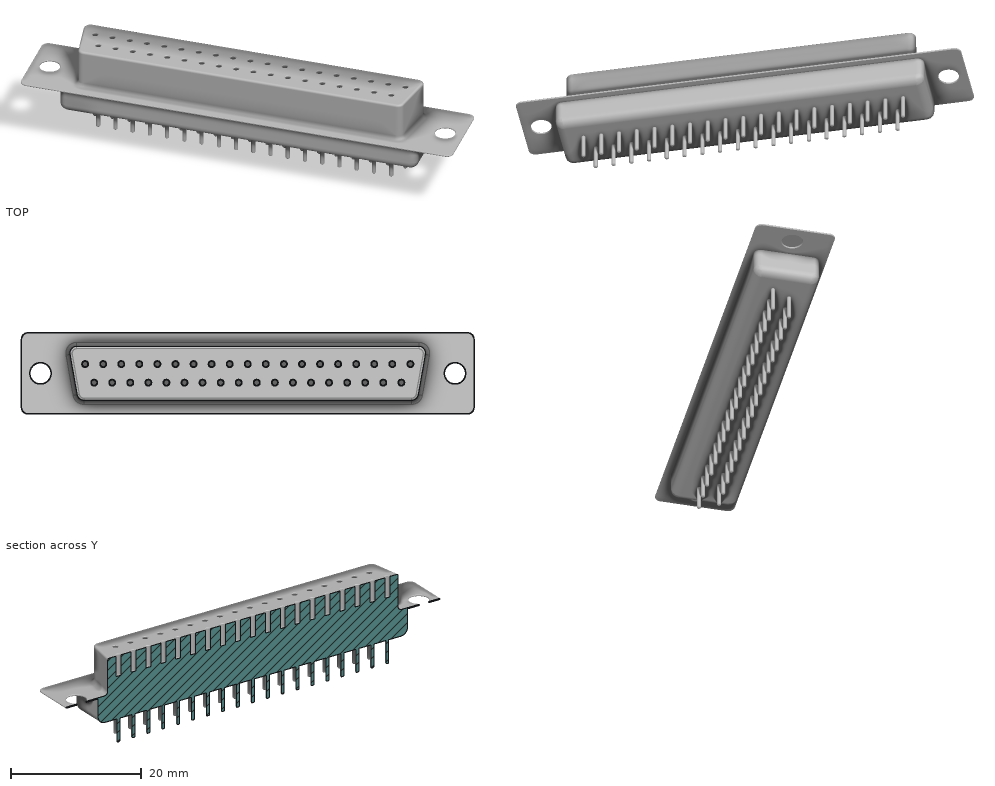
import cadquery as cq
import math


flange_length = 69.4
flange_width = 12.5
flange_thickness = 0.3
flange_corner_radius = 1.05
mounting_hole_diameter = 3.2
mounting_hole_spacing = 63.5
flange_edge_chamfer = 0.1

overall_height = 14.7
shell_height = 6.2
shell_length = 54.5
shell_width = 8.25
shell_side_angle = 10.0
shell_corner_radius = 1.05
shell_base_fillet = 0.6
shell_rim_fillet = 0.35

housing_length = 57.45
housing_width = 10.3
housing_bottom = -4.6
housing_corner_radius = 1.1
housing_bottom_fillet = 1.3

wide_row_count = 19
wide_row_length = 49.8
contact_pitch = wide_row_length / (wide_row_count - 1)
row_spacing = 2.85
socket_diameter = 0.8
socket_depth = 3.5
socket_mouth_chamfer = 0.105
pin_diameter = 0.64
pin_tip_chamfer = 0.15
pin_bottom = shell_height - overall_height


def contact_positions():
    """Two staggered rows; the row on the wide side holds one more contact."""
    rows = ((wide_row_count, row_spacing / 2), (wide_row_count - 1, -row_spacing / 2))
    return [
        ((index - (count - 1) / 2) * contact_pitch, y)
        for count, y in rows
        for index in range(count)
    ]


def make_flange():
    return (
        cq.Workplane("XY")
        .box(flange_length, flange_width, flange_thickness, centered=(True, True, False))
        .translate((0, 0, -flange_thickness))
        .edges("|Z")
        .fillet(flange_corner_radius)
        .pushPoints([(-mounting_hole_spacing / 2, 0), (mounting_hole_spacing / 2, 0)])
        .circle(mounting_hole_diameter / 2)
        .cutThruAll()
        .faces(">Z or <Z")
        .edges()
        .chamfer(flange_edge_chamfer)
    )


def make_housing():
    return (
        cq.Workplane("XY")
        .workplane(offset=housing_bottom)
        .rect(housing_length, housing_width)
        .extrude(-housing_bottom - flange_thickness)
        .edges("|Z")
        .fillet(housing_corner_radius)
        .faces("<Z")
        .edges()
        .fillet(housing_bottom_fillet)
    )


def make_shell():
    side_angle = math.radians(shell_side_angle)
    corner_angle = math.pi / 2 - side_angle
    corner_setback = shell_corner_radius / math.tan(corner_angle / 2)
    rounding_loss = corner_setback - shell_corner_radius
    half_wide = shell_length / 2 + rounding_loss
    half_narrow = half_wide - shell_width * math.tan(side_angle)
    half_width = shell_width / 2
    return (
        cq.Workplane("XY")
        .polyline([
            (-half_wide, half_width),
            (half_wide, half_width),
            (half_narrow, -half_width),
            (-half_narrow, -half_width),
        ])
        .close()
        .extrude(shell_height)
        .edges("|Z")
        .fillet(shell_corner_radius)
        .faces(">Z")
        .edges()
        .fillet(shell_rim_fillet)
    )


def fillet_shell_base(body):
    """Blend the shell walls into the top face of the flange."""
    margin = 0.1
    around_shell = cq.selectors.BoxSelector(
        (-shell_length / 2 - margin, -shell_width / 2 - margin, -margin),
        (shell_length / 2 + margin, shell_width / 2 + margin, margin),
        boundingbox=True,
    )
    return body.edges(around_shell).fillet(shell_base_fillet)


def make_pins():
    return (
        cq.Workplane("XY")
        .workplane(offset=pin_bottom)
        .pushPoints(contact_positions())
        .circle(pin_diameter / 2)
        .extrude(-pin_bottom - flange_thickness)
        .faces("<Z")
        .edges()
        .chamfer(pin_tip_chamfer)
    )


def make_sockets():
    """Blind contact bores with a chamfered mouth, as solids to cut away."""
    bores = (
        cq.Workplane("XY")
        .workplane(offset=shell_height - socket_depth)
        .pushPoints(contact_positions())
        .circle(socket_diameter / 2)
        .extrude(socket_depth)
    )
    mouths = (
        cq.Workplane("XY")
        .workplane(offset=shell_height)
        .pushPoints(contact_positions())
        .circle(socket_diameter / 2 + socket_mouth_chamfer)
        .extrude(-socket_mouth_chamfer, taper=45)
    )
    return bores.union(mouths)


body = fillet_shell_base(make_flange().union(make_shell()))
body = body.union(make_housing()).union(make_pins())
result = body.cut(make_sockets())